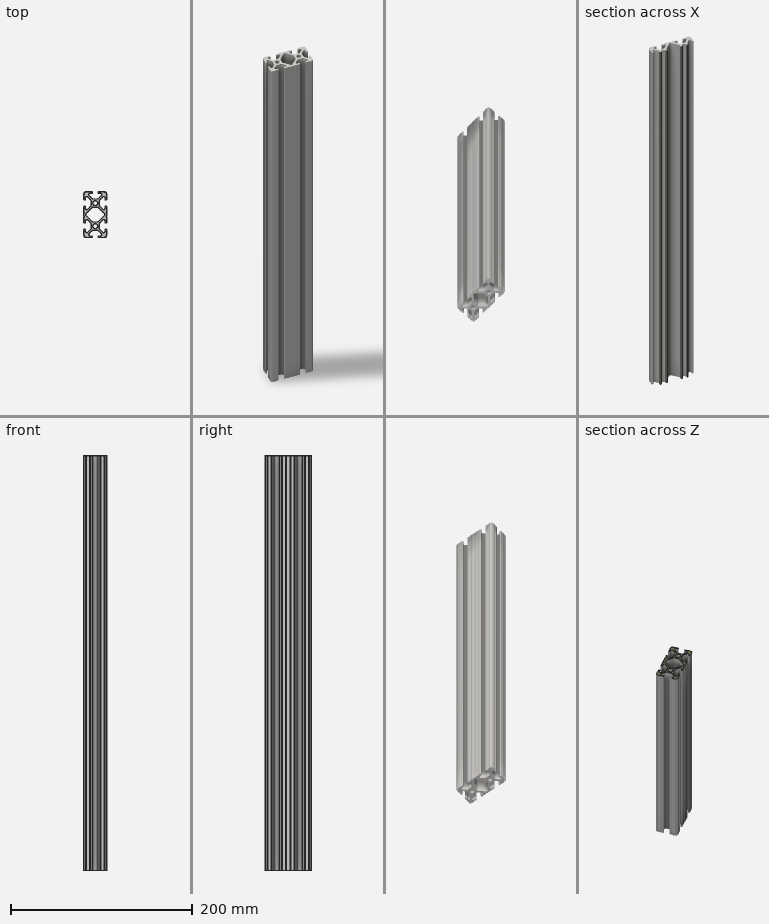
import cadquery as cq
import math

CELL = 25.4
CELL_COUNT = 2
LENGTH = 457.2
CORNER_RADIUS = 2.5

SLOT_OPENING = 6.42
WALL = 2.1
CAVITY_WALL = 2.44
SLOT_WIDTH = 14.48
SLOT_RADIUS = 1.44
CORE_WIDTH = 9.27
WEB_THICKNESS = 2.28
FLOOR_RADIUS = 2.08
CAVITY_RADIUS = 2.2
WEB_ANGLE = math.pi / 4
BORE_DIAMETER = 5.1

GROOVE_RADIUS = 0.57
LIP_GROOVE = 5.84
CORNER_GROOVE = 10.38

HALF_CELL = CELL / 2
HALF_CORE = CORE_WIDTH / 2
HALF_SLOT = SLOT_WIDTH / 2
LIP_INNER = HALF_CELL - WALL
CAVITY_SIDE = HALF_CELL - CAVITY_WALL
LIP_TIP = SLOT_OPENING / 2
LIP_RADIUS = WALL / 2
WEB_OFFSET = WEB_THICKNESS / 2 / math.cos(WEB_ANGLE)
CELL_CENTRES = [(i - (CELL_COUNT - 1) / 2) * CELL for i in range(CELL_COUNT)]


def start_floor(floor_y, radius):
    """Half outline from the Y axis along a core face, curving into a web face toward +X and +Y."""
    arc_start = HALF_CORE - WEB_OFFSET - radius * math.tan(WEB_ANGLE / 2)

    def arc_point(angle):
        return arc_start + radius * math.sin(angle), floor_y + radius * (1 - math.cos(angle))

    outline = cq.Workplane("XY").moveTo(0, floor_y).lineTo(arc_start, floor_y)
    return outline.threePointArc(arc_point(WEB_ANGLE / 2), arc_point(WEB_ANGLE))


def make_slot():
    """T-slot of a cell centred on the origin, opening toward +Y between fully rounded lips."""
    outline = (
        start_floor(HALF_CORE, FLOOR_RADIUS)
        .lineTo(HALF_SLOT, HALF_SLOT + WEB_OFFSET)
        .lineTo(HALF_SLOT, LIP_INNER - SLOT_RADIUS)
        .tangentArcPoint((HALF_SLOT - SLOT_RADIUS, LIP_INNER), relative=False)
        .lineTo(LIP_TIP + LIP_RADIUS, LIP_INNER)
        .threePointArc((LIP_TIP, LIP_INNER + LIP_RADIUS), (LIP_TIP + LIP_RADIUS, HALF_CELL))
        .lineTo(0, HALF_CELL)
    )
    return outline.mirrorY().extrude(LENGTH)


def make_cavity():
    """Closed channel between the cores of two neighbouring cells."""
    outline = (
        start_floor(HALF_CORE - HALF_CELL, CAVITY_RADIUS)
        .lineTo(CAVITY_SIDE, CAVITY_SIDE + WEB_OFFSET - HALF_CELL)
        .lineTo(CAVITY_SIDE, 0)
        .lineTo(0, 0)
    )
    quarter = outline.close().extrude(LENGTH)
    half = quarter.union(quarter.mirror("YZ"))
    return half.union(half.mirror("XZ"))


def make_body():
    """Solid bar with rounded long edges."""
    body = cq.Workplane("XY").rect(CELL, CELL * CELL_COUNT).extrude(LENGTH)
    return body.edges("|Z").fillet(CORNER_RADIUS)


def make_face_cutter():
    """Everything cut into one slotted face of a cell: the slot and the grooves on both sides of it."""
    offsets = [side * offset for side in (-1, 1) for offset in (LIP_GROOVE, CORNER_GROOVE)]
    centres = [(offset, HALF_CELL) for offset in offsets]
    grooves = cq.Workplane("XY").pushPoints(centres).circle(GROOVE_RADIUS).extrude(LENGTH)
    return make_slot().union(grooves)


def cut_faces(body):
    """Cut both X faces of every cell and the two Y end faces."""
    cutter = make_face_cutter()
    placements = [(angle, y) for y in CELL_CENTRES for angle in (90, -90)]
    placements += [(0, CELL_CENTRES[-1]), (180, CELL_CENTRES[0])]
    for angle, y in placements:
        body = body.cut(cutter.rotate((0, 0, 0), (0, 0, 1), angle).translate((0, y, 0)))
    return body


def cut_bores(body):
    """Bore every core along its full length."""
    centres = [(0, y) for y in CELL_CENTRES]
    bores = cq.Workplane("XY").pushPoints(centres).circle(BORE_DIAMETER / 2).extrude(LENGTH)
    return body.cut(bores)


result = cut_bores(cut_faces(make_body()).cut(make_cavity()))